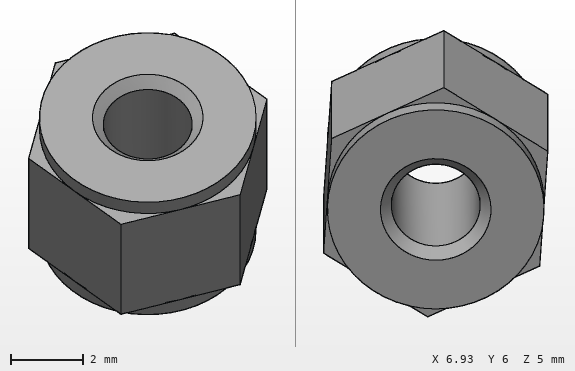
import cadquery as cq
import math

TOTAL_HEIGHT = 5.0
HEX_SIDES = 6
ACROSS_FLATS = 6.0
COLLAR_HEIGHT = 0.5
BORE_DIAMETER = 2.46
CHAMFER_SIZE = 0.3

ACROSS_CORNERS = ACROSS_FLATS / math.cos(math.pi / HEX_SIDES)
HEX_HEIGHT = TOTAL_HEIGHT - 2 * COLLAR_HEIGHT


def make_body():
    """Hexagonal spacer with a round collar, as wide as the flats, at each end."""
    core = cq.Workplane("XY").circle(ACROSS_FLATS / 2).extrude(TOTAL_HEIGHT)
    hexagon = (
        cq.Workplane("XY")
        .workplane(offset=COLLAR_HEIGHT)
        .polygon(HEX_SIDES, ACROSS_CORNERS)
        .extrude(HEX_HEIGHT)
    )
    return core.union(hexagon)


def make_bore():
    """Through bore widened by a conical lead-in at both ends."""
    bore_radius = BORE_DIAMETER / 2
    mouth_radius = bore_radius + CHAMFER_SIZE
    half_profile = [
        (0, 0),
        (mouth_radius, 0),
        (bore_radius, CHAMFER_SIZE),
        (bore_radius, TOTAL_HEIGHT - CHAMFER_SIZE),
        (mouth_radius, TOTAL_HEIGHT),
        (0, TOTAL_HEIGHT),
    ]
    return cq.Workplane("XZ").polyline(half_profile).close().revolve(360, (0, 0), (0, 1))


result = make_body().cut(make_bore())